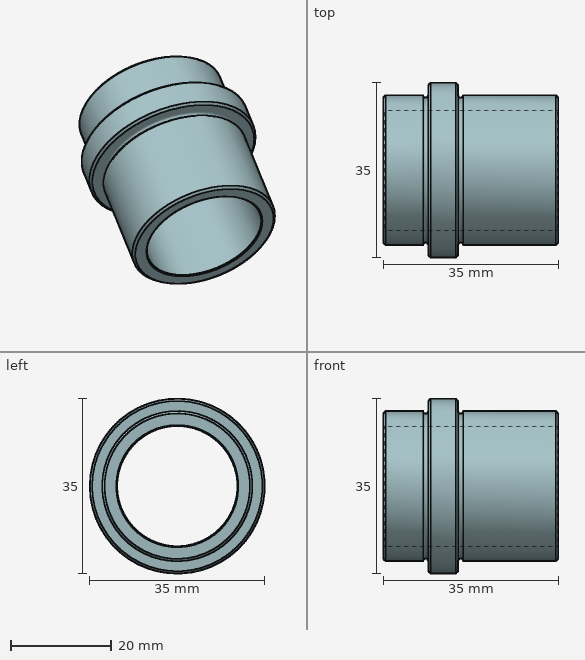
import cadquery as cq

length = 35.0
flange_diameter = 35.0
body_diameter = 30.03
bore_diameter = 24.0

flange_start = 9.0
flange_width = 6.0
flange_end = flange_start + flange_width
groove_width = 1.0
edge_chamfer = 0.5
bore_chamfer = 0.2

flange_radius = flange_diameter / 2
body_radius = body_diameter / 2
bore_radius = bore_diameter / 2
groove_bottom = body_radius - groove_width / 2

section = (
    cq.Workplane("XY")
    .moveTo(0, bore_radius + bore_chamfer)
    .lineTo(0, body_radius - edge_chamfer)
    .lineTo(edge_chamfer, body_radius)
    .lineTo(flange_start - groove_width, body_radius)
    .threePointArc((flange_start - groove_width / 2, groove_bottom), (flange_start, body_radius))
    .lineTo(flange_start, flange_radius - edge_chamfer)
    .lineTo(flange_start + edge_chamfer, flange_radius)
    .lineTo(flange_end - edge_chamfer, flange_radius)
    .lineTo(flange_end, flange_radius - edge_chamfer)
    .lineTo(flange_end, body_radius)
    .threePointArc((flange_end + groove_width / 2, groove_bottom), (flange_end + groove_width, body_radius))
    .lineTo(length - edge_chamfer, body_radius)
    .lineTo(length, body_radius - edge_chamfer)
    .lineTo(length, bore_radius + bore_chamfer)
    .lineTo(length - bore_chamfer, bore_radius)
    .lineTo(bore_chamfer, bore_radius)
    .close()
)

result = section.revolve(360, (0, 0, 0), (1, 0, 0))